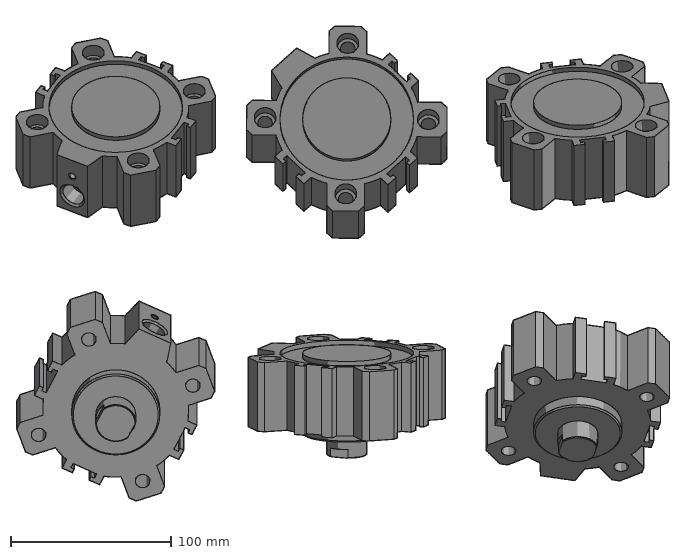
import cadquery as cq
import math

block_height = 44.0
barrel_radius = 45.5
half_span = 50.0

lug_width = 23.5
lug_reach = 62.5
bolt_offset = 36.0
bolt_diameter = 9.0
counterbore_diameter = 13.5
counterbore_depth = 8.6

rail_width = 26.0
slot_mouth_width = 11.6
slot_inner_width = 16.2
slot_lip = 2.7
slot_floor = 44.2
rail_angles = (0, 90, -90)

pad_face = 56.0
pad_face_width = 22.0
pad_flank_angle = 15.0
port_diameter = 14.95
port_chamfer = 1.3
port_z = -30.2
port_depth = 12.0
pilot_diameter = 4.13
pilot_chamfer = 0.55
pilot_z = -13.75
pilot_depth = 8.0

recess_diameter = 83.2
recess_depth = 3.0
plateau_diameter = 55.0

collar_diameter = 55.0
collar_height = 7.5
collar_chamfer = 1.0

rod_diameter = 25.0
rod_protrusion = 13.0
rod_chamfer = 0.5
flats_width = 22.0
flats_length = 5.5

collar_bottom = -(block_height + collar_height)
rod_bottom = collar_bottom - rod_protrusion


def block_prism(width, length):
    """Centred rectangular prism as tall as the block."""
    return cq.Workplane("XY").rect(width, length).extrude(-block_height)


def lugs():
    """Two crossed bars along the diagonals, trimmed to the square span."""
    bar = block_prism(2 * lug_reach, lug_width)
    cross = bar.rotate((0, 0, 0), (0, 0, 1), 45).union(bar.rotate((0, 0, 0), (0, 0, 1), -45))
    return cross.intersect(block_prism(2 * half_span, 2 * half_span))


def rail():
    """Solid rail on the +Y side, from the axis out to the side face."""
    return block_prism(rail_width, half_span).translate((0, half_span / 2, 0))


def rail_slot():
    """T-slot of the +Y rail: a narrow mouth and a wider undercut behind its lips."""
    mouth_depth = half_span - slot_floor
    undercut_depth = mouth_depth - slot_lip
    mouth = block_prism(slot_mouth_width, mouth_depth).translate((0, slot_floor + mouth_depth / 2, 0))
    undercut = block_prism(slot_inner_width, undercut_depth)
    undercut = undercut.translate((0, slot_floor + undercut_depth / 2, 0))
    return mouth.union(undercut)


def port_pad():
    """Tapered pad from the axis out to the port face."""
    face_half = pad_face_width / 2
    root_half = face_half + pad_face * math.tan(math.radians(pad_flank_angle))
    return (
        cq.Workplane("XY", origin=(0, 0, -block_height))
        .polyline([(-root_half, 0), (-face_half, -pad_face), (face_half, -pad_face), (root_half, 0)])
        .close()
        .extrude(block_height)
    )


def port_hole(diameter, chamfer, depth, z):
    """Blind hole into the port face with a 45 degree countersunk mouth."""
    radius = diameter / 2
    half_profile = [
        (0, 0),
        (radius + chamfer, 0),
        (radius, chamfer),
        (radius, depth),
        (0, depth),
    ]
    hole = cq.Workplane("XY").polyline(half_profile).close().revolve(360, (0, 0, 0), (0, 1, 0))
    return hole.translate((0, -pad_face, z))


def bolt_holes():
    """Four counterbored through holes on a square pattern."""
    pattern = cq.Workplane("XY").rect(2 * bolt_offset, 2 * bolt_offset, forConstruction=True).vertices()
    through = pattern.circle(bolt_diameter / 2).extrude(-block_height)
    counterbores = pattern.circle(counterbore_diameter / 2).extrude(-counterbore_depth)
    return through.union(counterbores)


def top_recess():
    """Ring-shaped recess that leaves the plateau standing in its middle."""
    return (
        cq.Workplane("XY")
        .circle(recess_diameter / 2)
        .circle(plateau_diameter / 2)
        .extrude(-recess_depth)
    )


def collar():
    """Guide collar under the block, chamfered at its lower edge."""
    return (
        cq.Workplane("XY", origin=(0, 0, collar_bottom))
        .circle(collar_diameter / 2)
        .extrude(collar_height)
        .faces("<Z")
        .chamfer(collar_chamfer)
    )


def rod_seat():
    """Bore through the collar, ending at the block's underside, that receives the rod."""
    return cq.Workplane("XY", origin=(0, 0, collar_bottom)).circle(rod_diameter / 2).extrude(collar_height)


def make_housing():
    body = cq.Workplane("XY").circle(barrel_radius).extrude(-block_height)
    body = body.union(lugs()).union(port_pad())
    for angle in rail_angles:
        body = body.union(rail().rotate((0, 0, 0), (0, 0, 1), angle))
    for angle in rail_angles:
        body = body.cut(rail_slot().rotate((0, 0, 0), (0, 0, 1), angle))
    body = body.union(collar())
    body = body.cut(top_recess()).cut(bolt_holes()).cut(rod_seat())
    body = body.cut(port_hole(port_diameter, port_chamfer, port_depth, port_z))
    return body.cut(port_hole(pilot_diameter, pilot_chamfer, pilot_depth, pilot_z))


def make_rod():
    """Round rod with a chamfered end and two wrench flats facing -X and +X."""
    rod = (
        cq.Workplane("XY", origin=(0, 0, rod_bottom))
        .circle(rod_diameter / 2)
        .extrude(rod_protrusion + collar_height)
        .faces("<Z")
        .chamfer(rod_chamfer)
    )
    flat_depth = (rod_diameter - flats_width) / 2
    for side in (-1, 1):
        flat = (
            cq.Workplane("XY", origin=(side * (flats_width + flat_depth) / 2, 0, rod_bottom))
            .rect(flat_depth, rod_diameter)
            .extrude(flats_length)
        )
        rod = rod.cut(flat)
    return rod


housing = make_housing()
rod = make_rod()

result = cq.Compound.makeCompound([housing.val(), rod.val()])